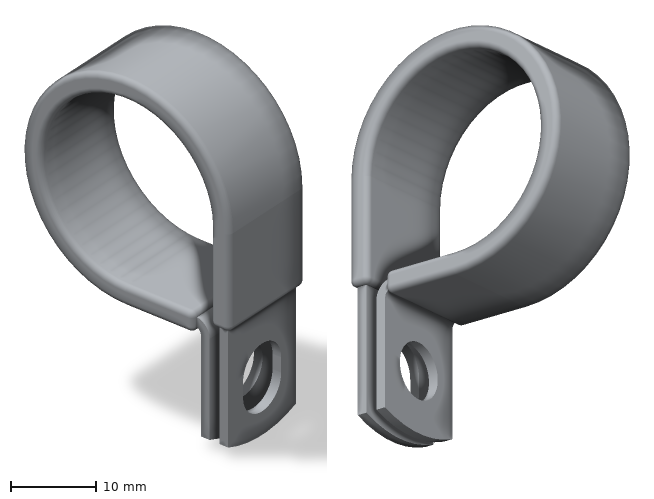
import cadquery as cq
import math

loop_outer_radius = 15.5
cushion_width = 14.3
edge_round = 0.75
strap_thickness = 1.3
total_height = 46.4

flat_leg_length = 10.1
upright_leg_length = 13.45
bend_inner_radius = 1.0
tab_gap = 1.5
tab_end_sag = 1.3
hole_diameter = 7.2
hole_to_tab_end = 7.9
slot_length = 9.3

cushion_thickness = strap_thickness + 2 * edge_round
loop_inner_radius = loop_outer_radius - cushion_thickness
strap_width = cushion_width - 2 * edge_round
strap_inner_radius = loop_inner_radius + edge_round
strap_outer_radius = strap_inner_radius + strap_thickness
bend_outer_radius = bend_inner_radius + strap_thickness
tab_bottom = loop_outer_radius - total_height
bent_tab_outer_x = strap_inner_radius - tab_gap
bent_tab_inner_x = bent_tab_outer_x - strap_thickness
bend_start_x = bent_tab_outer_x - bend_outer_radius
bend_end_z = -strap_inner_radius - bend_outer_radius


def extrude_centered(profile, width):
    """Extrude an XZ profile symmetrically about Y = 0."""
    return profile.extrude(width / 2, both=True)


def arc_midpoint(radius, center_x=0.0, center_z=0.0, direction=1):
    """Point on an arc along the 45 degree diagonal; direction -1 is up-left."""
    offset = radius * math.sqrt(0.5)
    return (center_x + direction * offset, center_z + offset)


def make_cushion():
    """Three-quarter loop with a flat leg and an upright leg, rounded on every free edge."""
    profile = (
        cq.Workplane("XZ")
        .moveTo(flat_leg_length, -loop_outer_radius)
        .lineTo(0, -loop_outer_radius)
        .threePointArc(arc_midpoint(loop_outer_radius, direction=-1), (loop_outer_radius, 0))
        .lineTo(loop_outer_radius, -upright_leg_length)
        .lineTo(loop_inner_radius, -upright_leg_length)
        .lineTo(loop_inner_radius, 0)
        .threePointArc(arc_midpoint(loop_inner_radius, direction=-1), (0, -loop_inner_radius))
        .lineTo(flat_leg_length, -loop_inner_radius)
        .close()
    )
    return extrude_centered(profile, cushion_width).edges("|Y or <Y or >Y").fillet(edge_round)


def make_bent_tab():
    """Strap end leaving the flat leg and bending downward."""
    profile = (
        cq.Workplane("XZ")
        .moveTo(0, -strap_inner_radius)
        .lineTo(bend_start_x, -strap_inner_radius)
        .threePointArc(
            arc_midpoint(bend_outer_radius, bend_start_x, bend_end_z),
            (bent_tab_outer_x, bend_end_z),
        )
        .lineTo(bent_tab_outer_x, tab_bottom)
        .lineTo(bent_tab_inner_x, tab_bottom)
        .lineTo(bent_tab_inner_x, bend_end_z)
        .threePointArc(
            arc_midpoint(bend_inner_radius, bend_start_x, bend_end_z),
            (bend_start_x, -strap_outer_radius),
        )
        .lineTo(0, -strap_outer_radius)
        .close()
    )
    return extrude_centered(profile, strap_width)


def make_straight_tab():
    """Strap end running straight down out of the upright leg."""
    profile = (
        cq.Workplane("XZ")
        .moveTo(strap_inner_radius, 0)
        .lineTo(strap_outer_radius, 0)
        .lineTo(strap_outer_radius, tab_bottom)
        .lineTo(strap_inner_radius, tab_bottom)
        .close()
    )
    return extrude_centered(profile, strap_width)


def make_tab_outline():
    """Block along X with the tabs' bowed lower end, used to trim both tabs."""
    half_width = strap_width / 2
    corner_z = tab_bottom + tab_end_sag
    return (
        cq.Workplane("YZ")
        .moveTo(-half_width, 0)
        .lineTo(-half_width, corner_z)
        .threePointArc((0, tab_bottom), (half_width, corner_z))
        .lineTo(half_width, 0)
        .close()
        .extrude(loop_outer_radius)
    )


def bolt_plane(x):
    """YZ workplane at the given X, centered on the bolt axis."""
    return cq.Workplane("YZ", origin=(x, 0, tab_bottom + hole_to_tab_end))


round_hole = bolt_plane(bent_tab_inner_x).circle(hole_diameter / 2).extrude(strap_thickness)
slot = bolt_plane(strap_inner_radius).slot2D(slot_length, hole_diameter, 90).extrude(strap_thickness)

tabs = make_bent_tab().union(make_straight_tab()).intersect(make_tab_outline())
result = make_cushion().union(tabs).cut(round_hole).cut(slot)